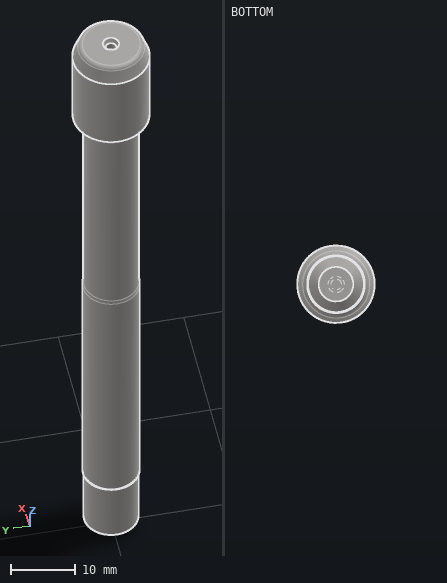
import cadquery as cq
import math

total_length = 110.0
pilot_radius = 8.7 / 2
shaft_radius = 9.0 / 2
neck_radius = 8.8 / 2
head_radius = 12.1 / 2

pilot_top = 12.2
step_bottom = 55.0
step_top = 55.7
head_bottom = 93.9
head_taper_bottom = 107.2

tip_chamfer = 1.6
rim_fillet = 0.8
neck_fillet = 1.6
shoulder_angle = 30.0
head_taper_angle = 20.0

center_diameter = 2.5
center_bore_diameter = 1.6
center_bore_depth = 2.2
countersink_angle = 60.0
drill_point_angle = 118.0


def make_body():
    """Revolve the pin outline; the sloping shoulder blends into the neck with a tangent arc."""
    taper = math.radians(head_taper_angle)
    taper_height = total_length - head_taper_bottom
    face_radius = head_radius - taper_height * math.tan(taper)

    slope = math.radians(shoulder_angle)
    shoulder_bottom = head_bottom - (head_radius - neck_radius) * math.tan(slope)
    half_turn = (math.pi / 2 - slope) / 2
    tangent_length = neck_fillet * math.tan(half_turn)
    blend_start = (neck_radius, shoulder_bottom - tangent_length)
    blend_middle = (
        neck_radius + neck_fillet * (1 - math.cos(half_turn)),
        blend_start[1] + neck_fillet * math.sin(half_turn),
    )
    blend_end = (
        neck_radius + tangent_length * math.cos(slope),
        shoulder_bottom + tangent_length * math.sin(slope),
    )

    outline = (
        cq.Workplane("XZ")
        .lineTo(pilot_radius - tip_chamfer, 0)
        .lineTo(pilot_radius, tip_chamfer)
        .lineTo(pilot_radius, pilot_top)
        .lineTo(shaft_radius, pilot_top)
        .lineTo(shaft_radius, step_bottom)
        .lineTo(neck_radius, step_top)
        .lineTo(*blend_start)
        .threePointArc(blend_middle, blend_end)
        .lineTo(head_radius, head_bottom)
        .lineTo(head_radius, head_taper_bottom)
        .lineTo(face_radius, total_length)
        .lineTo(0, total_length)
        .close()
    )
    body = outline.revolve(360, (0, 0, 0), (0, 1, 0))
    return body.faces(">Z").edges().fillet(rim_fillet)


def make_center_hole():
    """Countersunk centre hole with a conical bottom, opening in the head face."""
    sink_radius = center_diameter / 2
    bore_radius = center_bore_diameter / 2
    sink_depth = (sink_radius - bore_radius) / math.tan(math.radians(countersink_angle / 2))
    point_depth = bore_radius / math.tan(math.radians(drill_point_angle / 2))
    return (
        cq.Workplane("XZ", origin=(0, 0, total_length))
        .lineTo(sink_radius, 0)
        .lineTo(bore_radius, -sink_depth)
        .lineTo(bore_radius, -center_bore_depth)
        .lineTo(0, -center_bore_depth - point_depth)
        .close()
        .revolve(360, (0, 0, 0), (0, 1, 0))
    )


result = make_body().cut(make_center_hole())